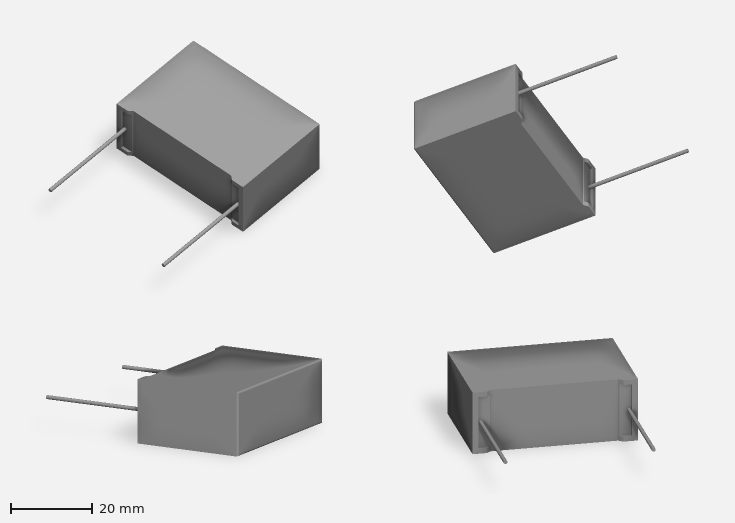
import cadquery as cq

LENGTH = 41.8
HEIGHT = 16.3
OVERALL = 55.6
LEAD_REACH = 27.0
DEPTH = OVERALL - LEAD_REACH
BACK_RADIUS = 0.5

FOOT_WIDTH = 3.65
RECESS_DEPTH = 0.95
FLANK_RUN = 1.1

POCKET_WIDTH = 3.1
POCKET_HEIGHT = 13.7
POCKET_INSET = 1.5
POCKET_DEPTH = 0.7

LEAD_DIAMETER = 1.0
LEAD_SPACING = 37.5

SIDES = (-1, 1)


def make_housing():
    """Block with a rounded back rim, a front recess and a pocket around each lead."""
    block = (
        cq.Workplane("XY")
        .box(LENGTH, DEPTH, HEIGHT, centered=(True, False, True))
        .faces(">Y").edges().fillet(BACK_RADIUS)
    )

    half_mouth = LENGTH / 2 - FOOT_WIDTH
    half_floor = half_mouth - FLANK_RUN
    recess = (
        cq.Workplane("XY")
        .polyline([
            (-half_mouth, 0),
            (half_mouth, 0),
            (half_floor, RECESS_DEPTH),
            (-half_floor, RECESS_DEPTH),
        ])
        .close()
        .extrude(HEIGHT / 2, both=True)
    )
    block = block.cut(recess)

    pocket_x = (LENGTH - POCKET_WIDTH) / 2 - POCKET_INSET
    for side in SIDES:
        pocket = (
            cq.Workplane("XY")
            .box(POCKET_WIDTH, POCKET_DEPTH, POCKET_HEIGHT, centered=(True, False, True))
            .translate((side * pocket_x, 0, 0))
        )
        block = block.cut(pocket)
    return block


def make_lead(side):
    """Straight round wire that starts on the pocket floor and points towards -Y."""
    return (
        cq.Workplane("XZ", origin=(side * LEAD_SPACING / 2, POCKET_DEPTH, 0))
        .circle(LEAD_DIAMETER / 2)
        .extrude(LEAD_REACH + POCKET_DEPTH)
    )


housing = make_housing()
leads = [make_lead(side) for side in SIDES]

result = cq.Compound.makeCompound([housing.val(), *[lead.val() for lead in leads]])